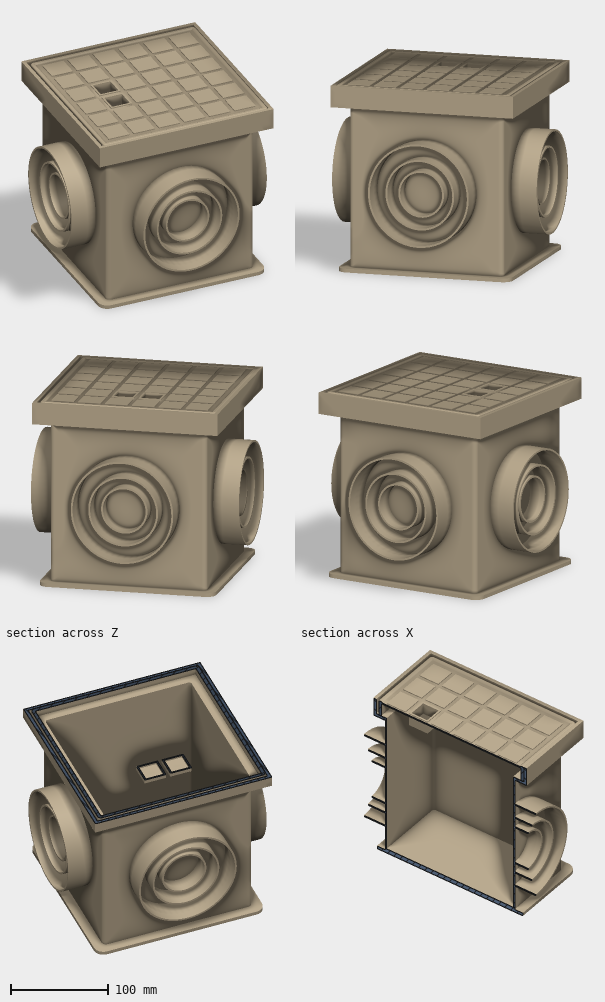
import cadquery as cq

OVERALL_WIDTH = 220.0
OVERALL_HEIGHT = 196.0
WALL = 2.0

FLANGE_WIDTH = 186.3
FLANGE_THICKNESS = 4.0
FLANGE_CORNER_RADIUS = 10.3
PLINTH_HEIGHT = 2.0

BOX_WIDTH = 165.7
BOX_CORNER_RADIUS = 4.8
BOX_BOTTOM = FLANGE_THICKNESS + PLINTH_HEIGHT
RIM_WIDTH = 196.0
RIM_HEIGHT = 22.7
RIM_WALL = 4.0
LEDGE_THICKNESS = 4.0
RIM_BOTTOM = OVERALL_HEIGHT - RIM_HEIGHT
LEDGE_TOP = RIM_BOTTOM + LEDGE_THICKNESS
RECESS_WIDTH = RIM_WIDTH - 2 * RIM_WALL
CAVITY_WIDTH = BOX_WIDTH - 2 * WALL

SIDE_COUNT = 4
SPIGOT_HEIGHT = 88.5
SPIGOT_LENGTH = (OVERALL_WIDTH - BOX_WIDTH) / 2
SPIGOT_RINGS = [(108.5, 0.0), (74.0, 5.0), (49.0, 10.0)]

LID_WIDTH = 185.7
LID_CORNER_RADIUS = 4.0
LID_SHIFT = (RECESS_WIDTH - LID_WIDTH) / 2
BORDER_EDGE_RADIUS = 1.5
BORDER_WIDTH = 2.0
BORDER_SLOPE = 1.8
RELIEF = 1.0
CREST_WIDTH = LID_WIDTH - 2 * BORDER_EDGE_RADIUS
FIELD_TOP_WIDTH = CREST_WIDTH - 2 * BORDER_WIDTH
FIELD_WIDTH = FIELD_TOP_WIDTH - 2 * BORDER_SLOPE
FIELD_Z = OVERALL_HEIGHT - RELIEF
PLATE_BOTTOM = FIELD_Z - WALL
SKIRT_WALL = 4.0

TILE_COUNT = 6
TILE_WIDTH = 23.8
TILE_PITCH = 28.4
GRIP_TILES = [(2, 1), (3, 1)]
GRIP_DEPTH = 13.5
GRIP_WIDTH = TILE_WIDTH - 2 * WALL
GRIP_FLOOR = OVERALL_HEIGHT - GRIP_DEPTH


def square_block(width, bottom, top):
    """Square prism centred on the Z axis."""
    return cq.Workplane("XY").workplane(offset=bottom).rect(width, width).extrude(top - bottom)


def square_frustum(bottom_width, bottom, top_width, top):
    """Square block with sloping sides, centred on the Z axis."""
    return (
        cq.Workplane("XY")
        .workplane(offset=bottom)
        .rect(bottom_width, bottom_width)
        .workplane(offset=top - bottom)
        .rect(top_width, top_width)
        .loft(combine=True)
    )


def make_base():
    flange = square_block(FLANGE_WIDTH, 0, FLANGE_THICKNESS).edges("|Z").fillet(FLANGE_CORNER_RADIUS)
    plinth = square_block(BOX_WIDTH, FLANGE_THICKNESS, BOX_BOTTOM).edges("|Z").fillet(BOX_CORNER_RADIUS)
    return flange.union(plinth)


def make_spigot_ring(diameter, setback):
    """One ring standing on the -Y wall."""
    return (
        cq.Workplane("XZ", origin=(0, -BOX_WIDTH / 2, SPIGOT_HEIGHT))
        .circle(diameter / 2)
        .circle(diameter / 2 - WALL)
        .extrude(SPIGOT_LENGTH - setback)
    )


def make_box():
    box = square_block(BOX_WIDTH, BOX_BOTTOM, LEDGE_TOP).edges("|Z").fillet(BOX_CORNER_RADIUS)
    box = box.union(square_block(RIM_WIDTH, RIM_BOTTOM, OVERALL_HEIGHT))

    box = box.cut(square_block(RECESS_WIDTH, LEDGE_TOP, OVERALL_HEIGHT))
    cavity = square_block(CAVITY_WIDTH, BOX_BOTTOM, LEDGE_TOP)
    box = box.cut(cavity.edges("|Z").fillet(BOX_CORNER_RADIUS - WALL))

    for side in range(SIDE_COUNT):
        for diameter, setback in SPIGOT_RINGS:
            ring = make_spigot_ring(diameter, setback)
            box = box.union(ring.rotate((0, 0, 0), (0, 0, 1), side * 360 / SIDE_COUNT))
    return box


def tile_centre(column, row):
    middle = (TILE_COUNT - 1) / 2
    return ((column - middle) * TILE_PITCH, (row - middle) * TILE_PITCH)


def make_grip_cup(column, row):
    """Square cup below the lid plate, and the cavity that opens it from the top."""
    x, y = tile_centre(column, row)
    cup = square_block(TILE_WIDTH, GRIP_FLOOR - WALL, PLATE_BOTTOM).translate((x, y, 0))
    cavity = square_block(GRIP_WIDTH, GRIP_FLOOR, OVERALL_HEIGHT).translate((x, y, 0))
    return cup, cavity


def make_lid():
    lid = square_block(LID_WIDTH, LEDGE_TOP, OVERALL_HEIGHT).edges("|Z").fillet(LID_CORNER_RADIUS)
    lid = lid.faces(">Z").edges().fillet(BORDER_EDGE_RADIUS)
    lid = lid.cut(square_frustum(FIELD_WIDTH, FIELD_Z, FIELD_TOP_WIDTH, OVERALL_HEIGHT))
    lid = lid.cut(square_block(LID_WIDTH - 2 * SKIRT_WALL, LEDGE_TOP, PLATE_BOTTOM))

    spots = range(TILE_COUNT)
    centres = [tile_centre(column, row) for column in spots for row in spots]
    tiles = cq.Workplane("XY").workplane(offset=FIELD_Z).pushPoints(centres).rect(TILE_WIDTH, TILE_WIDTH)
    lid = lid.union(tiles.extrude(RELIEF))

    for column, row in GRIP_TILES:
        cup, cavity = make_grip_cup(column, row)
        lid = lid.union(cup).cut(cavity)
    return lid.translate((LID_SHIFT, LID_SHIFT, 0))


base = make_base()
box = make_box()
lid = make_lid()
result = cq.Compound.makeCompound([base.val(), box.val(), lid.val()])